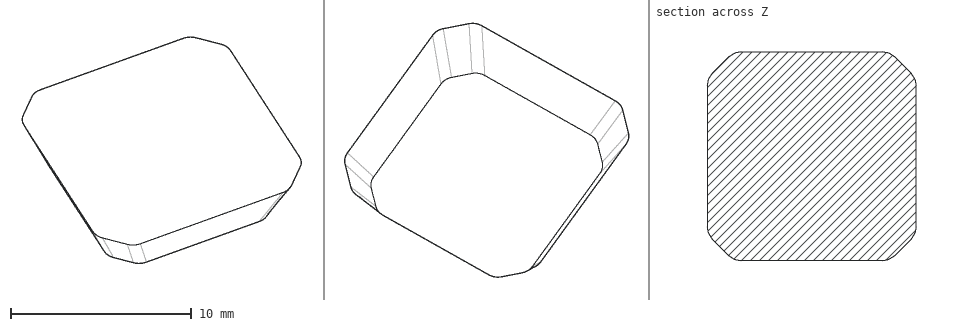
import cadquery as cq
import math

top_width = 12.7
thickness = 3.12
side_relief_angle = 20.0
bevel_relief_angle = 25.0
bevel_leg = 1.57
corner_radius = 1.0

half_width = top_width / 2
inset = thickness * math.tan(math.radians(side_relief_angle))
bevel_inset = thickness * math.tan(math.radians(bevel_relief_angle))
base_bevel_leg = bevel_leg - 2 * inset + math.sqrt(2) * bevel_inset


def bevelled_square(half, leg):
    """Corner points of a square with all four corners cut."""
    near = half - leg
    return [(half, -near), (half, near), (near, half), (-near, half),
            (-half, near), (-half, -near), (-near, -half), (near, -half)]


blank = (
    cq.Workplane("XY")
    .polyline(bevelled_square(half_width - inset, base_bevel_leg)).close()
    .workplane(offset=thickness)
    .polyline(bevelled_square(half_width, bevel_leg)).close()
    .loft(ruled=True, combine=True)
)

result = blank.edges("not (#Z)").fillet(corner_radius)